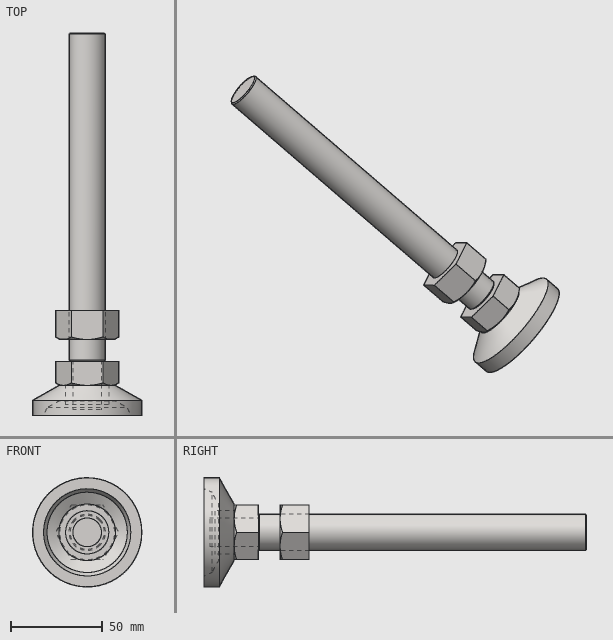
import cadquery as cq
import math

TOTAL_LENGTH = 210.0

PAD_DIAMETER = 60.0
PAD_BACK_DIAMETER = 31.0
PAD_RIM_HEIGHT = 8.5
PAD_HEIGHT = 16.5
POCKET_MOUTH_DIAMETER = 47.9
POCKET_STEP_DIAMETER = 44.0
POCKET_FLOOR_DIAMETER = PAD_BACK_DIAMETER
POCKET_STEP_DEPTH = 4.5
POCKET_DEPTH = 8.0

HEX_ACROSS_FLATS = 30.0
HEX_ACROSS_CORNERS = HEX_ACROSS_FLATS / math.cos(math.pi / 6)
HEX_CHAMFER_ANGLE = math.radians(30)

SWIVEL_HEX_HEIGHT = 13.2
SWIVEL_TOP = PAD_HEIGHT + SWIVEL_HEX_HEIGHT
NECK_DIAMETER = 23.7
NECK_PROTRUSION = 1.9
NECK_END = POCKET_DEPTH - NECK_PROTRUSION

LOCKNUT_HEIGHT = 16.0
LOCKNUT_BOTTOM = 41.8

STUD_DIAMETER = 20.0
STUD_CHAMFER = 0.6
SPIGOT_DIAMETER = 15.8
SPIGOT_END = 3.4


def revolve_profile(points):
    """Revolve a closed (radius, y) outline about the Y axis."""
    return cq.Workplane("XY").polyline(points).close().revolve(360, (0, 0, 0), (0, 1, 0))


def cylinder(diameter, start, end):
    """Cylinder along Y from start to end."""
    return cq.Workplane("XZ", origin=(0, end, 0)).circle(diameter / 2).extrude(end - start)


def hexagon(bottom, height):
    """Hexagonal prism along Y whose corners are chamfered at the bottom face."""
    top = bottom + height
    prism = cq.Workplane("XZ", origin=(0, top, 0)).polygon(6, HEX_ACROSS_CORNERS).extrude(height)
    face_radius = HEX_ACROSS_FLATS / 2
    corner_radius = HEX_ACROSS_CORNERS / 2
    chamfer_height = (corner_radius - face_radius) * math.tan(HEX_CHAMFER_ANGLE)
    envelope = revolve_profile([
        (0, bottom),
        (face_radius, bottom),
        (corner_radius, bottom + chamfer_height),
        (corner_radius, top),
        (0, top),
    ])
    return prism.intersect(envelope)


def make_pad():
    bore_radius = NECK_DIAMETER / 2
    return revolve_profile([
        (POCKET_MOUTH_DIAMETER / 2, 0),
        (PAD_DIAMETER / 2, 0),
        (PAD_DIAMETER / 2, PAD_RIM_HEIGHT),
        (PAD_BACK_DIAMETER / 2, PAD_HEIGHT),
        (bore_radius, PAD_HEIGHT),
        (bore_radius, POCKET_DEPTH),
        (POCKET_FLOOR_DIAMETER / 2, POCKET_DEPTH),
        (POCKET_STEP_DIAMETER / 2, POCKET_STEP_DEPTH),
    ])


def make_swivel_nut():
    neck = cylinder(NECK_DIAMETER, NECK_END, PAD_HEIGHT)
    bore = cylinder(SPIGOT_DIAMETER, NECK_END, SWIVEL_TOP)
    return hexagon(PAD_HEIGHT, SWIVEL_HEX_HEIGHT).union(neck).cut(bore)


def make_locknut():
    bore = cylinder(STUD_DIAMETER, LOCKNUT_BOTTOM, LOCKNUT_BOTTOM + LOCKNUT_HEIGHT)
    return hexagon(LOCKNUT_BOTTOM, LOCKNUT_HEIGHT).cut(bore)


def make_stud():
    shank = cylinder(STUD_DIAMETER, SWIVEL_TOP, TOTAL_LENGTH).faces("<Y or >Y").chamfer(STUD_CHAMFER)
    spigot = cylinder(SPIGOT_DIAMETER, SPIGOT_END, SWIVEL_TOP)
    return shank.union(spigot)


pad = make_pad()
swivel_nut = make_swivel_nut()
locknut = make_locknut()
stud = make_stud()

result = cq.Compound.makeCompound([pad.val(), swivel_nut.val(), locknut.val(), stud.val()])